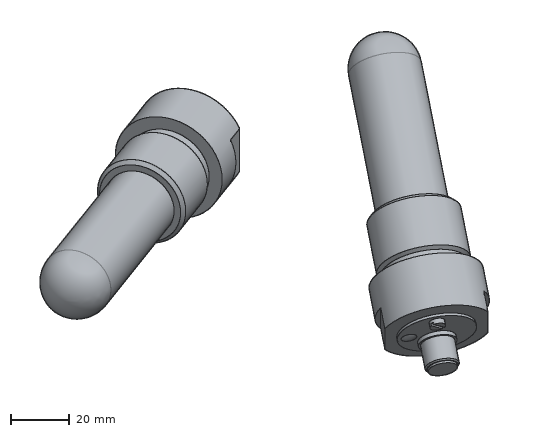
import cadquery as cq
import math


head_diameter = 40.0
head_length = 20.0
flats_width = 36.0
flats_length = 8.0

thread_diameter = 33.0
neck_diameter = 30.3
neck_length = 3.75
thread_start = 4.75
thread_end = 25.0
thread_chamfer = (thread_diameter - neck_diameter) / 2

tube_diameter = 25.5
probe_length = 93.0
tube_radius = tube_diameter / 2

plate_diameter = 27.8
plate_thickness = 1.0
plate_back = head_length + plate_thickness

connector_z = -5.0
connector_diameter = 12.0
connector_height = 11.5
connector_chamfer = 0.5
connector_tip_diameter = 10.3
connector_tip_length = 0.8
collar_diameter = 13.5
collar_height = 1.5

plug_diameter = 5.5
plug_height = 1.9
plug_z = 9.75
slot_width = 1.0
slot_depth = 0.8
slot_angle = 45.0
button_diameter = 5.5
button_dome_height = 0.75
button_x = 9.75


def disc(diameter, y_start, length, x=0.0, z=0.0):
    """Cylinder along +Y that starts at y_start."""
    plane = cq.Plane(origin=(x, y_start, z), xDir=(1, 0, 0), normal=(0, 1, 0))
    return cq.Workplane(plane).circle(diameter / 2).extrude(length)


def make_probe():
    """Neck, thread, tube and hemispherical tip, turned as one profile."""
    tip_center_y = tube_radius - probe_length
    arc_offset = tube_radius * math.sqrt(0.5)
    profile = (
        cq.Workplane("XY")
        .lineTo(neck_diameter / 2, 0)
        .lineTo(neck_diameter / 2, -neck_length)
        .lineTo(thread_diameter / 2, -thread_start)
        .lineTo(thread_diameter / 2, thread_chamfer - thread_end)
        .lineTo(neck_diameter / 2, -thread_end)
        .lineTo(tube_radius, -thread_end)
        .lineTo(tube_radius, tip_center_y)
        .threePointArc((arc_offset, tip_center_y - arc_offset), (0, -probe_length))
        .close()
    )
    return profile.revolve(360, (0, 0, 0), (0, 1, 0))


def make_head():
    """Round head with a pair of flats cut into its back end."""
    head = disc(head_diameter, 0, head_length)
    flats_start = head_length - flats_length
    front = disc(head_diameter, 0, flats_start)
    between_flats = cq.Workplane("XY").box(flats_width, 2 * head_length, head_diameter)
    return front.union(head.intersect(between_flats))


def make_connector():
    """Collar, chamfered barrel and reduced tip."""
    collar = disc(collar_diameter, plate_back, collar_height, z=connector_z)
    barrel_length = connector_height - connector_tip_length
    barrel = disc(connector_diameter, plate_back, barrel_length, z=connector_z)
    barrel = barrel.faces(">Y").chamfer(connector_chamfer)
    tip = disc(connector_tip_diameter, plate_back, connector_height, z=connector_z)
    return collar.union(barrel).union(tip)


def make_plug():
    """Short cylinder with a diagonal screwdriver slot."""
    plug = disc(plug_diameter, plate_back, plug_height, z=plug_z)
    slot = (
        cq.Workplane("XY")
        .box(2 * plug_diameter, 2 * slot_depth, slot_width)
        .rotate((0, 0, 0), (0, 1, 0), -slot_angle)
        .translate((0, plate_back + plug_height, plug_z))
    )
    return plug.cut(slot)


def make_button():
    """Shallow spherical dome rising from the plate."""
    rim_radius = button_diameter / 2
    sphere_radius = (rim_radius**2 + button_dome_height**2) / (2 * button_dome_height)
    sphere_y = plate_back + button_dome_height - sphere_radius
    sphere = cq.Workplane("XY").sphere(sphere_radius).translate((button_x, sphere_y, 0))
    return disc(button_diameter, plate_back, sphere_radius, x=button_x).intersect(sphere)


plate = disc(plate_diameter, head_length, plate_thickness)

result = make_head().union(make_probe()).union(plate)
result = result.union(make_connector()).union(make_plug()).union(make_button())